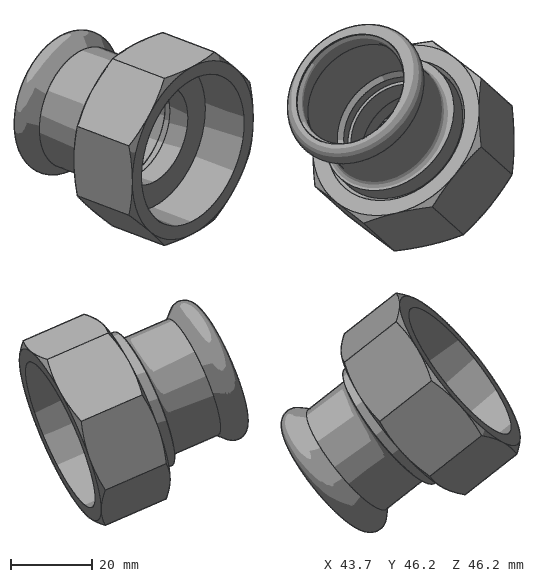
import cadquery as cq
import math

total_length = 43.7
nut_start = 24.75

bead_radius = 2.95
bead_center_radius = 15.65
tube_radius = 15.65
bead_blend_angle = math.radians(43)
tube_end = 18.9
collar_start = 21.0
collar_radius = 18
lip_radius = 14.9
socket_radius = 14.95
socket_start = 8.55
stop_taper_start = 22.15
stop_taper_end = 23.1
stop_bore_radius = 13.65
stop_position = 25.4
through_radius = 12.81
flange_radius = 19.503

seal_front = (0.55, 15.0)
seal_lead_in_end = (1.15, 14.4)
seal_crest = (1.7, 14.05)
seal_flare_start = (2.3, 14.0)
seal_back = (6, 14.8)
seal_outer_radius = 16.85
seal_outer_start = 1.4
seal_outer_end = 4.15

across_flats = 46.15
nut_hole_radius = 18.05
nut_hole_mouth_radius = 19.0
nut_mouth_depth = nut_hole_mouth_radius - nut_hole_radius
nut_lip_thickness = 3.7
nut_bore_radius = 19.55
nut_chamfer_length = 1.1
flange_start = nut_start + nut_lip_thickness
flange_thickness = 2.75
flange_end = flange_start + flange_thickness


def revolve_about_x(profile):
    return profile.close().revolve(360, (0, 0, 0), (1, 0, 0))


def make_seal():
    """Seal ring seated in the bead, with a rounded crest and a bore that flares towards the back."""
    return revolve_about_x(
        cq.Workplane("XY")
        .moveTo(*seal_front)
        .lineTo(*seal_lead_in_end)
        .threePointArc(seal_crest, seal_flare_start)
        .lineTo(*seal_back)
        .lineTo(seal_outer_end, seal_outer_radius)
        .lineTo(seal_outer_start, seal_outer_radius)
    )


def make_fitting():
    """Tube with a beaded press socket, a collar and a flange held by the nut."""
    blend_x = bead_radius * (1 + math.sin(bead_blend_angle))
    blend_radius = bead_center_radius + bead_radius * math.cos(bead_blend_angle)
    bead_end = blend_x + (blend_radius - tube_radius) / math.tan(bead_blend_angle)
    fillet_length = collar_start - tube_end
    mid_bead = (
        bead_radius * (1 - math.cos(math.pi / 4)),
        bead_center_radius + bead_radius * math.sin(math.pi / 4),
    )
    mid_fillet = (
        tube_end + fillet_length * math.sin(math.pi / 4),
        tube_radius + fillet_length * (1 - math.cos(math.pi / 4)),
    )
    mid_socket = (
        (seal_back[0] + socket_start) / 2,
        socket_radius - (socket_radius - seal_back[1]) / 4,
    )
    profile = (
        cq.Workplane("XY")
        .moveTo(0, lip_radius)
        .lineTo(0, bead_center_radius)
        .threePointArc(mid_bead, (blend_x, blend_radius))
        .lineTo(bead_end, tube_radius)
        .lineTo(tube_end, tube_radius)
        .threePointArc(mid_fillet, (collar_start, tube_radius + fillet_length))
        .lineTo(collar_start, collar_radius)
        .lineTo(flange_start, collar_radius)
        .lineTo(flange_start, flange_radius)
        .lineTo(flange_end, flange_radius)
        .lineTo(flange_end, through_radius)
        .lineTo(stop_position, through_radius)
        .lineTo(stop_position, stop_bore_radius)
        .lineTo(stop_taper_end, stop_bore_radius)
        .lineTo(stop_taper_start, socket_radius)
        .lineTo(socket_start, socket_radius)
        .threePointArc(mid_socket, seal_back)
        .lineTo(seal_outer_end, seal_outer_radius)
        .lineTo(seal_outer_start, seal_outer_radius)
        .lineTo(*seal_front)
    )
    return revolve_about_x(profile)


def make_nut():
    """Octagonal union nut, chamfered at both ends, with a plain bore behind its lip."""
    corner_radius = across_flats / 2 / math.cos(math.pi / 8)
    octagon = (
        cq.Workplane("YZ", origin=(nut_start, 0, 0))
        .transformed(rotate=(0, 0, 22.5))
        .polygon(8, 2 * corner_radius)
        .extrude(total_length - nut_start)
    )
    envelope = revolve_about_x(
        cq.Workplane("XY")
        .moveTo(nut_start, 0)
        .lineTo(nut_start, across_flats / 2)
        .lineTo(nut_start + nut_chamfer_length, corner_radius)
        .lineTo(total_length - nut_chamfer_length, corner_radius)
        .lineTo(total_length, across_flats / 2)
        .lineTo(total_length, 0)
    )
    opening = revolve_about_x(
        cq.Workplane("XY")
        .moveTo(nut_start, 0)
        .lineTo(nut_start, nut_hole_mouth_radius)
        .lineTo(nut_start + nut_mouth_depth, nut_hole_radius)
        .lineTo(flange_start, nut_hole_radius)
        .lineTo(flange_start, nut_bore_radius)
        .lineTo(total_length, nut_bore_radius)
        .lineTo(total_length, 0)
    )
    return octagon.intersect(envelope).cut(opening)


seal = make_seal()
fitting = make_fitting()
nut = make_nut()

result = cq.Compound.makeCompound([fitting.val(), seal.val(), nut.val()])